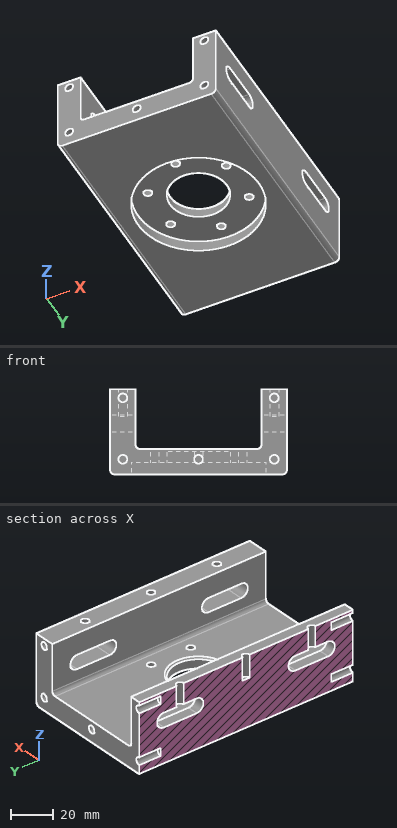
import cadquery as cq

width = 84.0
length = 130.0
height = 40.5
wall = 12.2
floor = 12.2
inner_fillet = 2.0
outer_fillet = 2.5

bore_diameter = 30.0
bore_chamfer = 1.0
recess_diameter = 64.0
recess_depth = 6.0

screw_diameter = 4.2
screw_depth = 13.0
bolt_circle_diameter = 48.1
bolt_count = 6
rail_hole_pitch = 40.0
end_hole_low = 7.3
end_hole_high = 36.4

slot_length = 28.0
slot_width = 8.0
slot_pitch = 80.0
slot_height = 24.5

wall_center = (width - wall) / 2


def channel():
    """U-shaped channel along Y, centred in X and Y, with its base at Z = 0."""
    block = cq.Workplane("XY").box(width, length, height, centered=(True, True, False))
    block = block.edges("|Y and <Z").fillet(outer_fillet)
    cavity = (
        cq.Workplane("XY")
        .workplane(offset=floor)
        .box(width - 2 * wall, length, height, centered=(True, True, False))
        .edges("|Y and <Z")
        .fillet(inner_fillet)
    )
    return block.cut(cavity)


def floor_openings():
    """Central bore, its top chamfer, the recess below and the ring of through holes."""
    bore = cq.Workplane("XY").circle(bore_diameter / 2).extrude(floor)
    chamfer = (
        cq.Workplane("XY")
        .workplane(offset=floor)
        .circle(bore_diameter / 2 + bore_chamfer)
        .workplane(offset=-bore_chamfer)
        .circle(bore_diameter / 2)
        .loft()
    )
    recess = cq.Workplane("XY").circle(recess_diameter / 2).extrude(recess_depth)
    bolt_ring = (
        cq.Workplane("XY")
        .polarArray(bolt_circle_diameter / 2, 90, 360, bolt_count)
        .circle(screw_diameter / 2)
        .extrude(floor)
    )
    return bore.union(chamfer).union(recess).union(bolt_ring)


def rail_holes():
    """Blind holes down into the top face of each side wall."""
    return (
        cq.Workplane("XY")
        .workplane(offset=height)
        .rarray(2 * wall_center, rail_hole_pitch, 2, 3)
        .circle(screw_diameter / 2)
        .extrude(-screw_depth)
    )


def end_holes():
    """Blind holes into the front end face, mirrored to the back end face."""
    positions = [(x, end_hole_low) for x in (-wall_center, 0, wall_center)]
    positions += [(x, end_hole_high) for x in (-wall_center, wall_center)]
    front = (
        cq.Workplane("XZ", origin=(0, -length / 2, 0))
        .pushPoints(positions)
        .circle(screw_diameter / 2)
        .extrude(-screw_depth)
    )
    return front.union(front.mirror("XZ"))


def side_slots():
    """Round-ended slots running along Y, cut across both side walls."""
    return (
        cq.Workplane("YZ", origin=(0, 0, slot_height))
        .rarray(slot_pitch, 1.3, 2, 1)
        .slot2D(slot_length, slot_width)
        .extrude(width / 2, both=True)
    )


result = channel().cut(floor_openings()).cut(rail_holes()).cut(end_holes()).cut(side_slots())